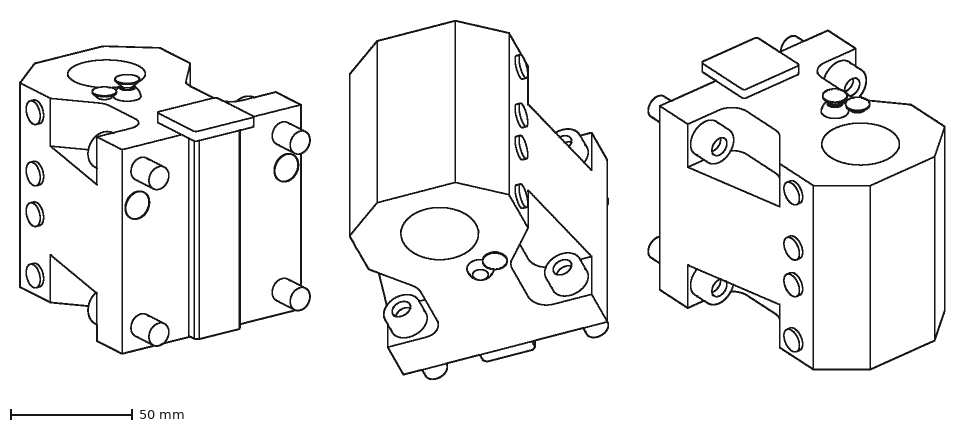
import cadquery as cq
import math


block_size = 90.0
half_height = block_size / 2
half_width = block_size / 2
bore_diameter = 32.0
front_face_x = -26.9
front_face_half_width = 17.2
side_face_half_width = 35.2
side_face_start_x = -12.0
side_face_end_x = 9.9

flange_thickness = 18.0
flange_back_x = 75.2
flange_front_x = flange_back_x - flange_thickness

web_height = 48.0
waist_half_width = 20.1
waist_slope_angle = math.radians(40)
waist_radius = 8.0
recess_height = (block_size - web_height) / 2

bolt_spacing_y = 71.1
bolt_spacing_z = 69.0
bolt_head_diameter = 16.0
bolt_head_height = 9.0
bolt_head_rounding = 0.7
bolt_shank_diameter = 10.0
bolt_end_x = 88.1
socket_diameter = 8.0
socket_depth = 4.0
socket_tip_half_angle = math.radians(60)

plug_diameter = 10.0
plug_height = 1.7
plug_heights_z = (-36.0, -9.0, 9.0, 36.0)

tag_length = 27.7
tag_width = 30.0
tag_thickness = 4.3
tag_corner_radius = 1.3

key_height = 89.0
key_width = 23.0
key_depth = 5.5
key_chamfer = 1.4
seal_diameter = 12.0
seal_thickness = 0.5
seal_y = 37.5
seal_z = 19.0

ball_x, ball_y = 26.1, -7.9
ball_radius = 5.8
ball_flat_radius = 3.2
top_ball_flat_z = 48.9
bottom_ball_flat_z = -48.4
side_screw_x, side_screw_y = 21.4, -16.1
screw_neck_radius = 2.5
screw_rim_radius = 5.1
screw_rim_thickness = 0.5
ball_screw_top_z = 52.7
side_screw_height = 2.5

embed = 2.3


def make_block():
    """Block outline with tapered web sides, pierced by the bore."""
    upper_side = [
        (front_face_x, front_face_half_width),
        (side_face_start_x, side_face_half_width),
        (side_face_end_x, side_face_half_width),
        (flange_front_x, half_width),
        (flange_back_x, half_width),
    ]
    lower_side = [(x, -y) for x, y in reversed(upper_side)]
    return (
        cq.Workplane("XY", origin=(0, 0, -half_height))
        .polyline(upper_side + lower_side)
        .close()
        .extrude(block_size)
        .cut(cq.Workplane("XY").circle(bore_diameter / 2).extrude(half_height, both=True))
    )


def make_recess():
    """Bolt head recess at the +Y side of the top face."""
    slope_length_x = (side_face_half_width - waist_half_width) / math.tan(waist_slope_angle)
    return (
        cq.Workplane("XY", origin=(0, 0, half_height - recess_height))
        .moveTo(side_face_end_x, side_face_half_width)
        .lineTo(side_face_end_x + slope_length_x, waist_half_width)
        .lineTo(flange_front_x, waist_half_width)
        .lineTo(flange_front_x, half_width)
        .lineTo(side_face_end_x, half_width)
        .close()
        .extrude(recess_height)
        .faces("<Y")
        .edges("|Z")
        .fillet(waist_radius)
    )


def make_bolt(y, z):
    """Bolt along X with a drilled socket, its head seated on the flange front face."""
    head_start_x = flange_front_x - bolt_head_height
    head_plane = cq.Workplane("YZ", origin=(head_start_x, y, z))
    head = head_plane.circle(bolt_head_diameter / 2).extrude(bolt_head_height)
    head = head.faces("<X").edges().fillet(bolt_head_rounding)
    shank = head_plane.circle(bolt_shank_diameter / 2).extrude(bolt_end_x - head_start_x)
    socket_radius = socket_diameter / 2
    socket_tip_depth = socket_depth + socket_radius / math.tan(socket_tip_half_angle)
    socket = (
        cq.Workplane("XY", origin=(head_start_x, y, z))
        .polyline([(0, 0), (0, socket_radius), (socket_depth, socket_radius), (socket_tip_depth, 0)])
        .close()
        .revolve(360, (0, 0, 0), (1, 0, 0))
    )
    return head.union(shank).cut(socket)


def make_plug_pair(z):
    """Round plugs standing on both side faces at height z."""
    reach = side_face_half_width + plug_height
    disc = (
        cq.Workplane("XZ", origin=(0, -reach, z))
        .circle(plug_diameter / 2)
        .extrude(-plug_height - embed)
    )
    return disc.union(disc.mirror("XZ"))


def make_tag():
    """Rounded plate lying on the top face and overhanging the back."""
    return (
        cq.Workplane("XY", origin=(flange_front_x + tag_length / 2, 0, half_height))
        .rect(tag_length, tag_width)
        .extrude(tag_thickness)
        .edges("|Z")
        .fillet(tag_corner_radius)
    )


def make_key():
    """Upright key on the back face with chamfered long edges."""
    return (
        cq.Workplane("YZ", origin=(flange_back_x, 0, 0))
        .rect(key_width, key_height)
        .extrude(key_depth)
        .faces(">X")
        .edges("|Z")
        .chamfer(key_chamfer)
    )


def make_seals():
    """Two thin seal discs on the back face."""
    return (
        cq.Workplane("YZ", origin=(flange_back_x, 0, 0))
        .pushPoints([(-seal_y, seal_z), (seal_y, seal_z)])
        .circle(seal_diameter / 2)
        .extrude(seal_thickness)
    )


def make_ball(flat_z):
    """Coolant ball with a flat at flat_z, sunk into the nearer end face."""
    flat_offset = math.sqrt(ball_radius**2 - ball_flat_radius**2)
    outward = math.copysign(1, flat_z)
    ball_center_z = flat_z - outward * flat_offset
    ball = cq.Workplane("XY", origin=(ball_x, ball_y, ball_center_z)).sphere(ball_radius)
    trim = (
        cq.Workplane("XY", origin=(ball_x, ball_y, flat_z))
        .rect(2 * ball_radius, 2 * ball_radius)
        .extrude(outward * ball_radius)
    )
    return ball.cut(trim)


def make_flared_screw(x, y, top_z):
    """Screw with a neck that flares at 45 degrees to a thin rim ending at top_z."""
    rim_z = top_z - screw_rim_thickness
    flare_z = rim_z - (screw_rim_radius - screw_neck_radius)
    neck_z = flare_z - embed
    return (
        cq.Workplane("XZ", origin=(x, y, 0))
        .moveTo(0, neck_z)
        .lineTo(screw_neck_radius, neck_z)
        .lineTo(screw_neck_radius, flare_z)
        .lineTo(screw_rim_radius, rim_z)
        .lineTo(screw_rim_radius, top_z)
        .lineTo(0, top_z)
        .close()
        .revolve(360, (0, 0, 0), (0, 1, 0))
    )


result = make_block()

recess = make_recess()
recess_pair = recess.union(recess.mirror("XZ"))
result = result.cut(recess_pair).cut(recess_pair.mirror("XY"))

for side_y in (-1, 1):
    for side_z in (-1, 1):
        bolt_y = side_y * bolt_spacing_y / 2
        bolt_z = side_z * bolt_spacing_z / 2
        result = result.union(make_bolt(bolt_y, bolt_z))

for plug_z in plug_heights_z:
    result = result.union(make_plug_pair(plug_z))

result = result.union(make_tag()).union(make_key()).union(make_seals())

for ball_flat_z in (top_ball_flat_z, bottom_ball_flat_z):
    result = result.union(make_ball(ball_flat_z))

side_screw = make_flared_screw(side_screw_x, side_screw_y, half_height + side_screw_height)
result = result.union(side_screw).union(side_screw.mirror("XY"))
result = result.union(make_flared_screw(ball_x, ball_y, ball_screw_top_z))